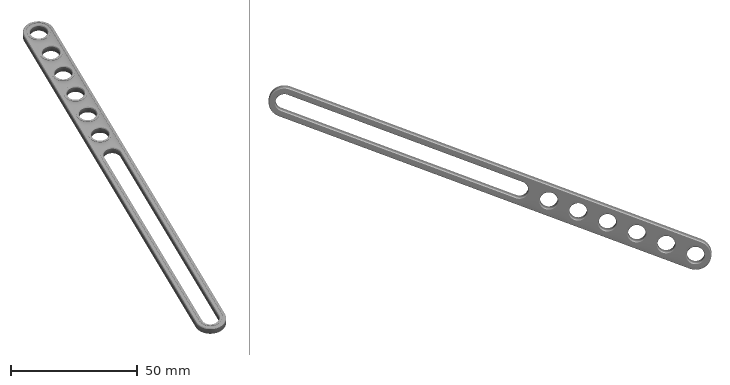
import cadquery as cq

pitch = 12.5
cells = 15
length = cells * pitch
width = pitch
thickness = pitch / 4

hole_count = 6
hole_diameter = 7.0
collar_diameter = 9.2
wall = (collar_diameter - hole_diameter) / 2

recess_depth = 0.2
edge_chamfer = 0.3

first_hole_x = -length / 2 + pitch / 2
slot_start_x = first_hole_x + hole_count * pitch
slot_end_x = length / 2 - pitch / 2
slot_span = slot_end_x - slot_start_x
slot_center_x = (slot_start_x + slot_end_x) / 2


def strap(outline_width, height):
    """Strap with full round ends, inset evenly for widths below the outer one."""
    outline_length = length - width + outline_width
    return cq.Workplane("XY").slot2D(outline_length, outline_width).extrude(height)


def openings(diameter, height):
    """Solid filling every hole and the slot, all of one width."""
    hole_points = [(first_hole_x + i * pitch, 0) for i in range(hole_count)]
    holes = cq.Workplane("XY").pushPoints(hole_points).circle(diameter / 2).extrude(height)
    slot_profile = cq.Workplane("XY").center(slot_center_x, 0).slot2D(slot_span + diameter, diameter)
    return holes.union(slot_profile.extrude(height))


def bevelled_plate():
    """Pierced strap with every rim on its top and bottom faces bevelled."""
    plate = strap(width, thickness).cut(openings(hole_diameter, thickness))
    return plate.faces("<Z or >Z").edges().chamfer(edge_chamfer)


def top_recess():
    """Shallow pocket in the top face, inside the rim and around the collars."""
    inside_rim = strap(width - 2 * wall, recess_depth)
    pocket = inside_rim.cut(openings(collar_diameter, recess_depth))
    return pocket.translate((0, 0, thickness - recess_depth))


result = bevelled_plate().cut(top_recess()).translate((0, 0, -thickness / 2))